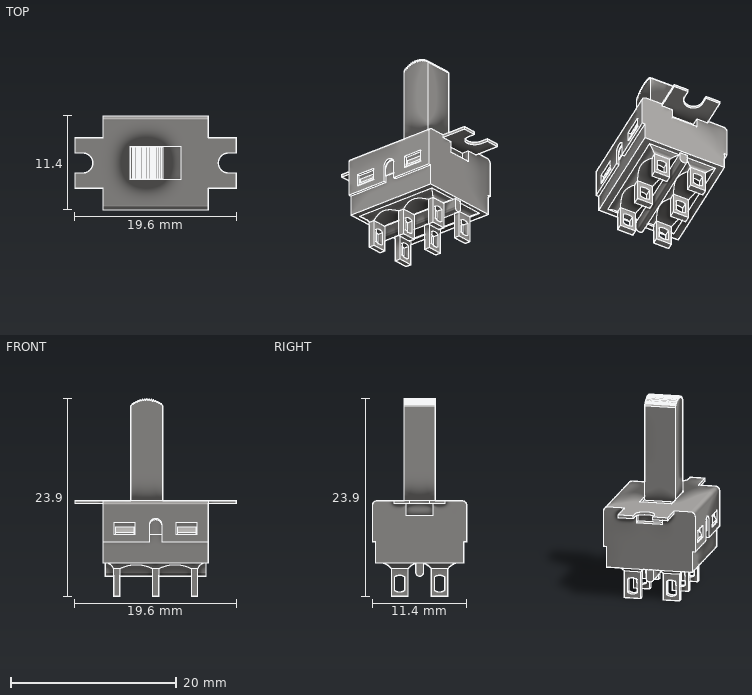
import cadquery as cq
import math


total_height = 23.9
total_length = 19.55
total_width = 11.42

sheet = 0.35
cover_length = 12.75
cover_top = 11.57
skirt_height = 4.97
bend_radius = 0.57
ear_width = 6.15
notch_diameter = 2.4
notch_center_inset = 0.98
slot_length = 6.15
slot_width = 3.97

window_length = 2.55
window_height = 1.45
window_offset = 3.75
window_drop = 4.1
wedge_length = 2.22
wedge_height = 0.93
wedge_lip = 0.29
wedge_reach = 0.26

key_width = 1.5
key_height = 2.82
boss_reach = 0.1
boss_gap = 0.15

body_width = total_width - 2 * sheet
body_top = cover_top - sheet
body_bottom = 4.02
end_recess_width = 3.25
end_recess_height = 1.4
end_recess_depth = 0.95

rib_length = 12.2
rib_width = 0.95
rib_height = 1.6

lug_thickness = 0.76
lug_width = 2.03
lug_pitch = 4.7
row_spacing = 4.83
eye_width = 1.2
eye_height = 2.0
eye_center = 1.53

seal_depth = 0.67
seal_side_spread = 1.0
seal_end_spread = 0.67
seal_mid_depth = 0.203
seal_hollow = 0.1

actuator_length = 3.9
actuator_width = 3.82
actuator_left = -3.0
crown_radius = 2.87
tooth_count = 15
tooth_pitch_degrees = 5.4
tooth_flank_degrees = 57

skirt_bottom = cover_top - skirt_height
window_bottom = cover_top - window_drop
lug_columns = [-lug_pitch, 0, lug_pitch]
lug_rows = [-row_spacing / 2, row_spacing / 2]


def box(length, width, z_low, z_high):
    """Box centred on the Z axis between two heights."""
    return cq.Workplane("XY").workplane(offset=z_low).rect(length, width).extrude(z_high - z_low)


def front_plane(y):
    """XZ sketch plane at the given Y, extruding toward -Y."""
    return cq.Workplane("XZ", origin=(0, y, 0))


def round_topped(y, depth, z_low, z_top):
    """Upright tongue with a half-round top, extruded from y toward -Y."""
    half = key_width / 2
    return (
        front_plane(y)
        .moveTo(-half, z_low)
        .lineTo(half, z_low)
        .lineTo(half, z_top - half)
        .threePointArc((0, z_top), (-half, z_top - half))
        .close()
        .extrude(depth)
    )


def both_sides(solid):
    """The solid together with its mirror image on the +Y side."""
    return solid.union(solid.mirror("XZ"))


def make_cover():
    shell = box(cover_length, total_width, skirt_bottom, cover_top)
    shell = shell.edges("|X and >Z").fillet(bend_radius)
    shell = shell.cut(box(cover_length, body_width, skirt_bottom, body_top))
    cover = shell.union(box(total_length, ear_width, body_top, cover_top))

    for side in (-1, 1):
        edge = side * total_length / 2
        center = edge - side * notch_center_inset
        notch = cq.Workplane("XY", origin=(0, 0, body_top)).center(center, 0).circle(notch_diameter / 2)
        mouth = cq.Workplane("XY", origin=(0, 0, body_top)).center(edge, 0)
        mouth = mouth.rect(2 * notch_center_inset, notch_diameter)
        cover = cover.cut(notch.extrude(sheet)).cut(mouth.extrude(sheet))

    cover = cover.cut(box(slot_length, slot_width, body_top, cover_top))

    windows = (
        front_plane(-body_width / 2)
        .pushPoints([(side * window_offset, window_bottom + window_height / 2) for side in (-1, 1)])
        .rect(window_length, window_height)
        .extrude(sheet)
    )
    key = round_topped(-body_width / 2, sheet, skirt_bottom, skirt_bottom + key_height)
    return cover.cut(both_sides(windows)).cut(both_sides(key))


def make_wedges():
    """Latch wedges, square at the bottom and sloping back to the body wall above."""
    wall = -body_width / 2
    profile = [
        (wall, window_bottom),
        (wall - wedge_reach, window_bottom),
        (wall - wedge_reach, window_bottom + wedge_lip),
        (wall, window_bottom + wedge_height),
    ]
    wedge = cq.Workplane("YZ").polyline(profile).close().extrude(wedge_length / 2, both=True)
    pair = wedge.translate((-window_offset, 0, 0)).union(wedge.translate((window_offset, 0, 0)))
    return both_sides(pair)


def make_body():
    body = box(cover_length, body_width, body_bottom, body_top)
    recess = box(end_recess_depth, end_recess_width, body_top - end_recess_height, body_top)
    for side in (-1, 1):
        body = body.cut(recess.translate((side * (cover_length - end_recess_depth) / 2, 0, 0)))
    boss = round_topped(-body_width / 2, boss_reach, window_bottom, skirt_bottom + key_height - boss_gap)
    return body.union(make_wedges()).union(both_sides(boss)).union(make_rib())


def make_rib():
    """Rib along X with a fully rounded lower edge."""
    radius = rib_width / 2
    tip = body_bottom - rib_height
    return (
        cq.Workplane("YZ")
        .moveTo(-radius, body_bottom)
        .lineTo(-radius, tip + radius)
        .threePointArc((0, tip), (radius, tip + radius))
        .lineTo(radius, body_bottom)
        .close()
        .extrude(rib_length / 2, both=True)
    )


def make_lug():
    lug = box(lug_thickness, lug_width, 0, body_bottom)
    eye = cq.Workplane("YZ").center(0, eye_center).circle(eye_height / 2)
    eye = eye.extrude(lug_thickness, both=True)
    return lug.cut(eye.intersect(box(lug_thickness, eye_width, 0, body_bottom)))


def make_seal():
    """Seal along one row: hollow flanks across it and sagging arches between its lugs."""
    low = body_bottom - seal_depth
    side = lug_width / 2
    across = (
        cq.Workplane("YZ")
        .moveTo(-side - seal_side_spread, body_bottom)
        .sagittaArc((-side, low), seal_hollow)
        .lineTo(side, low)
        .sagittaArc((side + seal_side_spread, body_bottom), seal_hollow)
        .close()
        .extrude(rib_length / 2, both=True)
    )

    half = lug_thickness / 2
    along = cq.Workplane("XZ").moveTo(-lug_pitch - half - seal_end_spread, body_bottom)
    along = along.sagittaArc((-lug_pitch - half, low), seal_hollow)
    for x in lug_columns[:-1]:
        along = along.lineTo(x + half, low)
        along = along.threePointArc(
            (x + lug_pitch / 2, body_bottom - seal_mid_depth), (x + lug_pitch - half, low)
        )
    along = along.lineTo(lug_pitch + half, low)
    along = along.sagittaArc((lug_pitch + half + seal_end_spread, body_bottom), seal_hollow)
    return across.intersect(along.close().extrude(total_width / 2, both=True))


def make_actuator():
    """Lever with upright grip teeth, all with the same flank slope and their tips on the crown arc."""
    half = actuator_length / 2
    slope = math.tan(math.radians(tooth_flank_degrees))

    def tip(index):
        angle = math.radians(tooth_pitch_degrees * (index - (tooth_count - 1) / 2))
        return (
            crown_radius * math.sin(angle),
            total_height - crown_radius * (1 - math.cos(angle)),
        )

    def valley(left, right):
        """Meeting point of the two flanks that run down from neighbouring tips."""
        x = (left[0] + right[0]) / 2 + (left[1] - right[1]) / (2 * slope)
        return (x, left[1] - slope * (x - left[0]))

    tips = [tip(i) for i in range(tooth_count)]
    shoulder_z = tips[-1][1] - slope * (half - tips[-1][0])
    outline = [(-half, body_top), (-half, shoulder_z), tips[0]]
    for left, right in zip(tips, tips[1:]):
        outline += [valley(left, right), right]
    outline += [(half, shoulder_z), (half, body_top)]
    lever = cq.Workplane("XZ").polyline(outline).close().extrude(actuator_width / 2, both=True)
    return lever.translate((actuator_left + half, 0, 0))


result = make_body().union(make_actuator())
for y in lug_rows:
    result = result.union(make_seal().translate((0, y, 0)))
    for x in lug_columns:
        result = result.union(make_lug().translate((x, y, 0)))

result = result.union(make_cover(), clean=False)